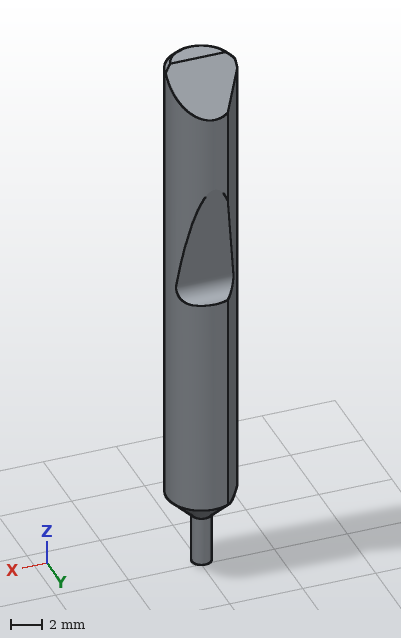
import cadquery as cq
import math

total_length = 38.1
shank_diameter = 4.75
neck_diameter = 1.35
neck_length = 3.5
point_angle = 120.0
top_chamfer = 0.4

flat_distance = 2.05
flat_direction = 144.0

top_land_edge_y = -0.57

notch_floor_z = 21.15
notch_top_z = 29.85
notch_slope = 10.0
notch_corner_radius = 1.0

shank_radius = shank_diameter / 2
neck_radius = neck_diameter / 2
point_height = neck_radius / math.tan(math.radians(point_angle / 2))
neck_top_z = point_height + neck_length
shoulder_z = neck_top_z + shank_radius - neck_radius
cut_size = 2 * shank_diameter


def turned_body():
    profile = [
        (0, 0),
        (neck_radius, point_height),
        (neck_radius, neck_top_z),
        (shank_radius, shoulder_z),
        (shank_radius, total_length - top_chamfer),
        (shank_radius - top_chamfer, total_length),
        (0, total_length),
    ]
    return cq.Workplane("XZ").polyline(profile).close().revolve(360, (0, 0), (0, 1))


def flat_cutter():
    return (
        cq.Workplane("XY")
        .box(cut_size, cut_size, total_length, centered=(False, True, False))
        .translate((flat_distance, 0, 0))
        .rotate((0, 0, 0), (0, 0, 1), flat_direction)
    )


def across_shank(profile):
    """Extrude a (Y, Z) profile through the full width in X."""
    return cq.Workplane("YZ").polyline(profile).close().extrude(cut_size / 2, both=True)


def top_cutter():
    return across_shank([
        (top_land_edge_y, total_length),
        (top_land_edge_y + cut_size, total_length),
        (top_land_edge_y + cut_size, total_length - cut_size),
    ])


def notch_cutter():
    slope = math.tan(math.radians(notch_slope))
    corner_y = shank_radius - (notch_top_z - notch_floor_z) * slope
    outer_z = notch_top_z + (cut_size - shank_radius) / slope
    wedge = across_shank([
        (corner_y, notch_floor_z),
        (cut_size, notch_floor_z),
        (cut_size, outer_z),
    ])
    return wedge.edges("|X").edges("<Y").fillet(notch_corner_radius)


result = turned_body().cut(flat_cutter()).cut(top_cutter()).cut(notch_cutter())